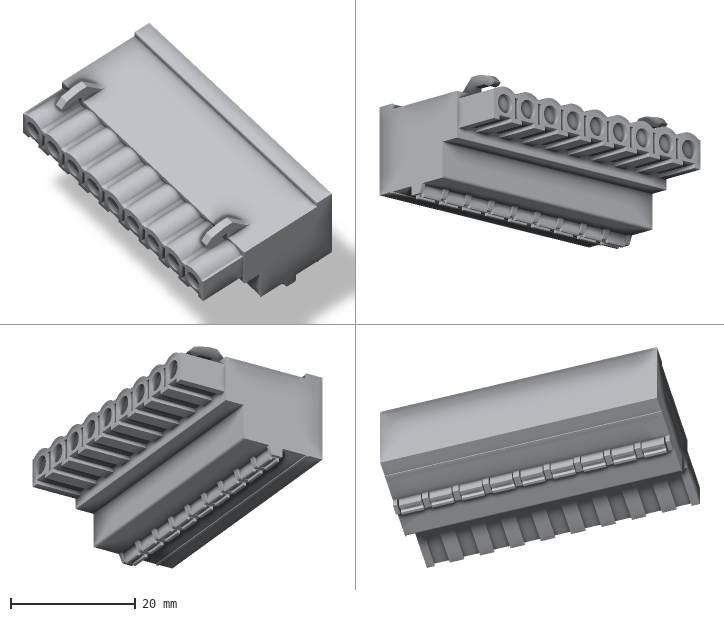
import cadquery as cq
import math


pole_count = 9
row_length = 40.65
pole_pitch = row_length / (pole_count - 1)
pole_xs = [(i - (pole_count - 1) / 2) * pole_pitch for i in range(pole_count)]
gap_xs = [(left + right) / 2 for left, right in zip(pole_xs, pole_xs[1:])]

housing_width = 46.35
housing_depth = 18.25
end_skin = 0.1
top_z = 13.8
lip_depth = 3.1
lip_height = 0.93
lip_front_y = housing_depth - lip_depth
front_step_z = 6.0
front_step_depth = 3.4
lip_radius = 0.3
step_radius = 0.1
bottom_radius = 0.35
bead_y = 15.4
bead_width = 0.45
bead_height = 0.2
overlap = 0.45

socket_length = 8.35
socket_width = 45.7
valley_z = 12.55
arch_rise = 0.8
arch_width = 4.2
socket_floor_z = 8.4
flange_bottom_z = 7.65
flange_width = 2.45
flange_flare = 0.15
end_flange_width = 1.35
hole_z = 10.5
hole_radius = 1.58
hole_depth = 0.93
slot_width = 0.85
slot_top_z = 11.85
slot_depth = 0.93

hook_spacing = 36.9
hook_width = 1.4
hook_top_z = 17.05
hook_under_z = 15.2

foot_width = 3.7
foot_front_y = 8.75
foot_back_y = 10.65
foot_height = 1.95
foot_chamfer_height = 0.3
foot_chamfer_depth = 0.1
groove_front_y = 9.45
groove_back_y = 10.15
groove_bevel = 0.2
rib_width = 1.0
rib_front_y = 8.15
rib_back_y = 10.75
rib_height = 1.55
end_rib_width = 0.7


def extrude_along_x(profile, center_x, width):
    """Extrude a Y-Z profile to the given width, centred on center_x."""
    return profile.extrude(width / 2, both=True).translate((center_x, 0, 0))


def box_between(x_range, y_range, z_range):
    """Box spanning the given (low, high) ranges."""
    size = [high - low for low, high in (x_range, y_range, z_range)]
    corner = (x_range[0], y_range[0], z_range[0])
    return cq.Workplane("XY").box(*size, centered=False).translate(corner)


def housing_slab(width):
    """Stepped housing outline with sharp edges, extruded to the given width."""
    profile = cq.Workplane("YZ").polyline([
        (front_step_depth, 0),
        (housing_depth, 0),
        (housing_depth, top_z + lip_height),
        (lip_front_y, top_z + lip_height),
        (lip_front_y, top_z),
        (0, top_z),
        (0, front_step_z),
        (front_step_depth, front_step_z),
    ]).close()
    return extrude_along_x(profile, 0, width)


def make_housing():
    """Housing with rounded front edges between two thin sharp-edged end skins."""
    core = housing_slab(housing_width - 2 * end_skin)
    rounded_edges = [
        (lip_front_y, top_z + lip_height, lip_radius),
        (0, front_step_z, step_radius),
        (front_step_depth, 0, bottom_radius),
    ]
    for y, z, radius in rounded_edges:
        edge = cq.selectors.NearestToPointSelector((0, y, z))
        core = core.edges(edge).fillet(radius)

    skin = housing_slab(end_skin)
    skin_x = (housing_width - end_skin) / 2
    housing = core.union(skin.translate((-skin_x, 0, 0))).union(skin.translate((skin_x, 0, 0)))
    bead = box_between(
        (-housing_width / 2, housing_width / 2),
        (bead_y - bead_width / 2, bead_y + bead_width / 2),
        (-bead_height, overlap),
    )
    return housing.union(bead)


def make_flange(center_x, bottom_width):
    """Flange under the sockets, flaring towards its lower face."""
    bottom_half = bottom_width / 2
    top_half = bottom_half - flange_flare
    profile = cq.Workplane("XZ").polyline([
        (center_x - bottom_half, flange_bottom_z),
        (center_x + bottom_half, flange_bottom_z),
        (center_x + top_half, socket_floor_z),
        (center_x - top_half, socket_floor_z),
    ]).close()
    return profile.extrude(socket_length)


def make_sockets():
    """Arched row of sockets with flanges below, blind holes and slots."""
    half_width = socket_width / 2
    outline = cq.Workplane("XZ").moveTo(-half_width, socket_floor_z).lineTo(-half_width, valley_z)
    for x in pole_xs:
        outline = outline.lineTo(x - arch_width / 2, valley_z)
        outline = outline.threePointArc((x, valley_z + arch_rise), (x + arch_width / 2, valley_z))
    outline = outline.lineTo(half_width, valley_z).lineTo(half_width, socket_floor_z).close()
    sockets = outline.extrude(socket_length)

    flanges = [make_flange(x, flange_width) for x in gap_xs]
    flanges += [make_flange(side * half_width, 2 * end_flange_width) for side in (-1, 1)]
    for flange in flanges:
        sockets = sockets.union(flange)
    row_envelope = box_between(
        (-half_width, half_width),
        (-socket_length, 0),
        (flange_bottom_z, top_z),
    )
    sockets = sockets.intersect(row_envelope)

    front_plane = cq.Workplane("XZ", origin=(0, -socket_length, 0))
    holes = (
        front_plane.pushPoints([(x, hole_z) for x in pole_xs])
        .circle(hole_radius)
        .extrude(-hole_depth)
    )
    slot_height = slot_top_z - socket_floor_z
    slots = (
        front_plane.pushPoints([(x, socket_floor_z + slot_height / 2) for x in gap_xs])
        .rect(slot_width, slot_height)
        .extrude(-slot_depth)
    )
    return sockets.cut(holes).cut(slots)


def make_hook(center_x):
    """Locking hook that rises from the housing top and overhangs the sockets."""
    ramp_radius = 2.05
    ramp_start_y = 4.9
    ramp_end_y = ramp_start_y - ramp_radius * math.sin(math.pi / 4)
    ramp_end_z = top_z + ramp_radius * (1 - math.cos(math.pi / 4))
    ramp_mid_y = ramp_start_y - ramp_radius * math.sin(math.pi / 8)
    ramp_mid_z = top_z + ramp_radius * (1 - math.cos(math.pi / 8))
    ramp_top_y = ramp_end_y - (hook_top_z - ramp_end_z)
    back_y = -0.75
    brow_y = -3.45
    brow_z = 16.45
    nose_point = (-4.55, 15.3)
    nose_underside = (-4.0, 14.88)
    nose_heel = (-3.35, 14.75)
    throat_y = -2.1
    crest_radius = 0.45
    back_radius = 1.4
    brow_radius = 0.4

    profile = (
        cq.Workplane("YZ")
        .moveTo(0, top_z - overlap)
        .lineTo(ramp_start_y, top_z - overlap)
        .lineTo(ramp_start_y, top_z)
        .threePointArc((ramp_mid_y, ramp_mid_z), (ramp_end_y, ramp_end_z))
        .lineTo(ramp_top_y, hook_top_z)
        .lineTo(back_y, hook_top_z)
        .lineTo(brow_y, brow_z)
        .lineTo(*nose_point)
        .threePointArc(nose_underside, nose_heel)
        .lineTo(throat_y, hook_under_z)
        .lineTo(0, hook_under_z)
        .close()
    )
    hook = extrude_along_x(profile, center_x, hook_width)
    rounded_edges = [
        (ramp_top_y, hook_top_z, crest_radius),
        (back_y, hook_top_z, back_radius),
        (brow_y, brow_z, brow_radius),
    ]
    for y, z, radius in rounded_edges:
        edge = cq.selectors.NearestToPointSelector((center_x, y, z))
        hook = hook.edges(edge).fillet(radius)
    return hook


def make_foot(center_x):
    """Foot with a groove across its underside and a chamfered front edge."""
    profile = cq.Workplane("YZ").polyline([
        (foot_front_y, overlap),
        (foot_front_y, foot_chamfer_height - foot_height),
        (foot_front_y + foot_chamfer_depth, -foot_height),
        (groove_front_y - groove_bevel, -foot_height),
        (groove_front_y, -rib_height),
        (groove_back_y, -rib_height),
        (groove_back_y, -foot_height),
        (foot_back_y, -foot_height),
        (foot_back_y, overlap),
    ]).close()
    return extrude_along_x(profile, center_x, foot_width)


def make_rib(x_range):
    """Rib with a sloping front, standing between two feet or at an end."""
    rib_tip_depth = 0.1
    rib_tip_height = 0.3
    back_bevel_height = 0.15
    profile = cq.Workplane("YZ").polyline([
        (rib_front_y, overlap),
        (rib_front_y, 0),
        (foot_front_y - rib_tip_depth, rib_tip_height - rib_height),
        (foot_front_y + rib_tip_depth, -rib_height),
        (foot_back_y, -rib_height),
        (rib_back_y, back_bevel_height - rib_height),
        (rib_back_y, overlap),
    ]).close()
    low, high = x_range
    return extrude_along_x(profile, (low + high) / 2, high - low)


result = make_housing().union(make_sockets())

for side in (-1, 1):
    result = result.union(make_hook(side * hook_spacing / 2))

for x in pole_xs:
    result = result.union(make_foot(x))

end_x = housing_width / 2
for x in gap_xs:
    result = result.union(make_rib((x - rib_width / 2, x + rib_width / 2)))
result = result.union(make_rib((-end_x, -end_x + end_rib_width)))
result = result.union(make_rib((end_x - end_rib_width, end_x)))